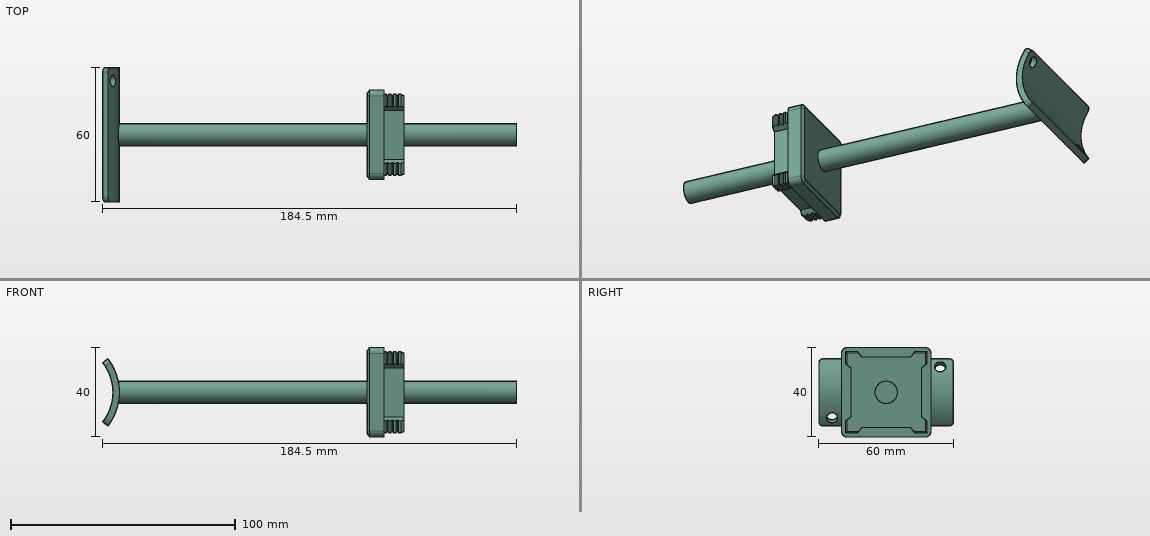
import cadquery as cq
import math

total_length = 184.5

plate_width = 60.0
plate_thickness = 3.0
plate_inner_radius = 21.5
plate_half_angle = 38.0
plate_corner_radius = 2.0
plate_hole_diameter = 5.0
plate_hole_edge_distance = 5.9
plate_hole_angle = 28.0

rod_diameter = 10.0

flange_start = 118.0
flange_size = 40.0
flange_thickness = 7.5
flange_corner_radius = 2.8
flange_chamfer_length = 1.1
flange_chamfer_inset = 1.5
plug_length = 8.9
plug_core_size = 31.4
recess_floor_width = 21.8
recess_top_width = 25.5

rib_count = 4
rib_pitch = 2.2
rib_overlap_with_flange = 0.7
rib_tip_size = 36.2
rib_root_size = 34.9
rib_rise_length = 0.5
rib_tip_length = 1.0

plate_outer_radius = plate_inner_radius + plate_thickness
plate_axis_x = -plate_inner_radius * math.cos(math.radians(plate_half_angle))
plug_start = flange_start + flange_thickness
plug_end = plug_start + plug_length
ribs_start = plug_start - rib_overlap_with_flange


def plate_point(radius, angle):
    """Point in XZ at an angle above the +X direction, seen from the plate's arc centre."""
    turn = math.radians(angle)
    return plate_axis_x + radius * math.cos(turn), radius * math.sin(turn)


def cylinder_along_x(radius, start, end):
    """Cylinder on the X axis, with its seam on the top side."""
    plane = cq.Plane(origin=(start, 0, 0), xDir=(0, 0, 1), normal=(1, 0, 0))
    return cq.Workplane(plane).circle(radius).extrude(end - start)


def square_block(size, start, length):
    """Square block centred on the X axis."""
    return cq.Workplane("YZ", origin=(start, 0, 0)).rect(size, size).extrude(length)


def make_plate():
    plate = (
        cq.Workplane("XZ")
        .moveTo(*plate_point(plate_inner_radius, -plate_half_angle))
        .threePointArc(
            plate_point(plate_inner_radius, 0), plate_point(plate_inner_radius, plate_half_angle)
        )
        .lineTo(*plate_point(plate_outer_radius, plate_half_angle))
        .threePointArc(
            plate_point(plate_outer_radius, 0), plate_point(plate_outer_radius, -plate_half_angle)
        )
        .close()
        .extrude(plate_width / 2, both=True)
    )
    corner_edges = plate.faces("<Y or >Y").edges("%LINE")
    plate = plate.newObject(corner_edges.vals()).fillet(plate_corner_radius)

    hole_y = plate_width / 2 - plate_hole_edge_distance
    for side in (1, -1):
        turn = math.radians(side * plate_hole_angle)
        axis = cq.Vector(math.cos(turn), 0, math.sin(turn))
        centre = cq.Vector(plate_axis_x, side * hole_y, 0)
        hole = cq.Solid.makeCylinder(plate_hole_diameter / 2, 2 * plate_outer_radius, centre, axis)
        plate = plate.cut(cq.Workplane(hole))
    return plate


def make_rod():
    """Round rod whose near end is hollowed to seat on the plate's outer face."""
    seat = (
        cq.Workplane("XZ", origin=(plate_axis_x, 0, 0))
        .circle(plate_outer_radius)
        .extrude(plate_width / 2, both=True)
    )
    return cylinder_along_x(rod_diameter / 2, 0, total_length).cut(seat)


def make_rib(start, end):
    """One square barb ring: short steep rise, flat tip, then a slope down to the root."""
    tip_start = start + rib_rise_length
    tip_end = tip_start + rib_tip_length
    rise = (
        cq.Workplane("YZ", origin=(start, 0, 0))
        .rect(rib_root_size, rib_root_size)
        .workplane(offset=rib_rise_length)
        .rect(rib_tip_size, rib_tip_size)
        .loft(ruled=True)
    )
    slope = (
        cq.Workplane("YZ", origin=(tip_end, 0, 0))
        .rect(rib_tip_size, rib_tip_size)
        .workplane(offset=end - tip_end)
        .rect(rib_root_size, rib_root_size)
        .loft(ruled=True)
    )
    return rise.union(square_block(rib_tip_size, tip_start, rib_tip_length)).union(slope)


def make_side_recess(turn):
    """Trapezoidal cutter that leaves the middle of one plug side low between its corner pads."""
    floor = plug_core_size / 2
    top = rib_tip_size / 2
    return (
        cq.Workplane("YZ", origin=(plug_start, 0, 0))
        .moveTo(-recess_floor_width / 2, floor)
        .lineTo(recess_floor_width / 2, floor)
        .lineTo(recess_top_width / 2, top)
        .lineTo(-recess_top_width / 2, top)
        .close()
        .extrude(plug_length)
        .rotate((0, 0, 0), (1, 0, 0), turn)
    )


def make_cap():
    flange = (
        square_block(flange_size, flange_start, flange_thickness)
        .edges("|X")
        .fillet(flange_corner_radius)
        .faces("<X")
        .chamfer(flange_chamfer_length, flange_chamfer_inset)
    )
    last_rib_start = ribs_start + (rib_count - 1) * rib_pitch
    plug = make_rib(last_rib_start, plug_end)
    for index in range(rib_count - 1):
        start = ribs_start + index * rib_pitch
        plug = plug.union(make_rib(start, start + rib_pitch))
    for turn in (0, 90, 180, 270):
        plug = plug.cut(make_side_recess(turn))
    bore = cylinder_along_x(rod_diameter / 2, flange_start, plug_end)
    return flange.union(plug).cut(bore)


plate = make_plate()
rod = make_rod()
cap = make_cap()

result = cq.Compound.makeCompound([plate.val(), rod.val(), cap.val()])